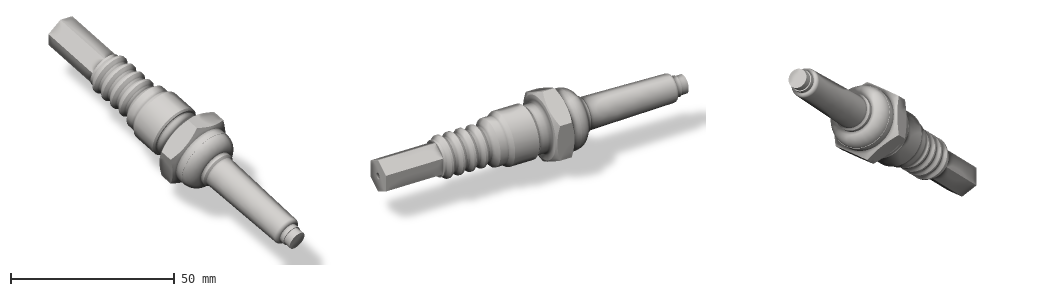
import cadquery as cq
import math

total_length = 107.0

tail_length = 20.0
tail_across_corners = 11.5
hole_radius = 1.1
hole_depth = 3.2
hole_tip_angle = 90.0

rib_count = 4
rib_pitch = 4.0
groove_radius = 6.0
rib_radius = 7.0
groove_width = 0.9
rib_top_width = 0.7
first_groove_end = tail_length + groove_width

shoulder_radius = 7.9
shoulder_start = 38.5
shoulder_end = 41.4
sleeve_radius = 9.0
sleeve_start = 43.0
sleeve_end = 52.0
sleeve_chamfer = 0.5
relief_radius = 7.8
relief_end = 52.5
neck_radius = 8.0
neck_fillet = 0.7

nut_start = 56.4
nut_end = 63.3
nut_across_corners = 25.4
nut_front_radius = 10.5
nut_chamfer_angle = 30.0

flange_radius = 10.1
flange_end = 65.8
dome_radius = 10.0
dome_rounding = 4.2
dome_end = flange_end + dome_rounding

collar_radius = 6.0
collar_end = 71.9
collar_chamfer = 0.6
probe_end_radius = 4.7
probe_end = 103.0
probe_rounding = 1.1
tip_radius = 3.4
tip_step = 104.6
pin_radius = 3.1


def hexagonal_bar(start, end, across_corners):
    """Hexagonal bar along X with two flats facing +Y and -Y."""
    return (
        cq.Workplane("YZ", origin=(start, 0, 0))
        .transformed(rotate=(0, 0, 90))
        .polygon(6, across_corners)
        .extrude(end - start)
    )


def revolve_about_x(profile):
    return profile.close().revolve(360, (0, 0, 0), (1, 0, 0))


def rib_points():
    """Corners of the ribs, from the end of the first groove to the end of the last one."""
    slope_length = (rib_pitch - groove_width - rib_top_width) / 2
    points = []
    for index in range(rib_count):
        rib_start = first_groove_end + index * rib_pitch
        top_start = rib_start + slope_length
        top_end = top_start + rib_top_width
        rib_end = top_end + slope_length
        points += [
            (rib_start, groove_radius),
            (top_start, rib_radius),
            (top_end, rib_radius),
            (rib_end, groove_radius),
        ]
    last_groove_end = first_groove_end + rib_count * rib_pitch
    return points + [(last_groove_end, groove_radius)]


def turned_body():
    """All round stretches, revolved from one half outline."""
    outline = cq.Workplane("XY").moveTo(tail_length, 0).lineTo(tail_length, groove_radius)
    for x, radius in rib_points():
        outline = outline.lineTo(x, radius)

    outline = (
        outline.lineTo(shoulder_start, shoulder_radius)
        .lineTo(shoulder_end, shoulder_radius)
        .lineTo(sleeve_start, sleeve_radius)
        .lineTo(sleeve_end - sleeve_chamfer, sleeve_radius)
        .lineTo(sleeve_end, sleeve_radius - sleeve_chamfer)
        .lineTo(sleeve_end, relief_radius)
        .lineTo(relief_end, relief_radius)
        .lineTo(relief_end, neck_radius)
        .lineTo(nut_start - neck_fillet, neck_radius)
        .tangentArcPoint((nut_start, neck_radius + neck_fillet), relative=False)
    )

    outline = (
        outline.lineTo(nut_start, flange_radius)
        .lineTo(flange_end, flange_radius)
        .lineTo(flange_end, dome_radius)
        .radiusArc((dome_end, dome_radius - dome_rounding), dome_rounding)
    )

    outline = (
        outline.lineTo(dome_end, collar_radius)
        .lineTo(collar_end - collar_chamfer, collar_radius)
        .lineTo(collar_end, collar_radius - collar_chamfer)
        .lineTo(probe_end - probe_rounding, probe_end_radius)
        .radiusArc((probe_end, probe_end_radius - probe_rounding), probe_rounding)
        .lineTo(probe_end, tip_radius)
        .lineTo(tip_step, tip_radius)
        .lineTo(tip_step, pin_radius)
        .lineTo(total_length, pin_radius)
        .lineTo(total_length, 0)
    )
    return revolve_about_x(outline)


def nut():
    """Hexagon trimmed by a cone at each face; the rear cone runs down to the flange."""
    corner_radius = nut_across_corners / 2
    chamfer_slope = math.tan(math.radians(nut_chamfer_angle))
    front_chamfer = (corner_radius - nut_front_radius) * chamfer_slope
    back_chamfer = (corner_radius - flange_radius) * chamfer_slope
    envelope = revolve_about_x(
        cq.Workplane("XY")
        .moveTo(nut_start, 0)
        .lineTo(nut_start, nut_front_radius)
        .lineTo(nut_start + front_chamfer, corner_radius)
        .lineTo(nut_end - back_chamfer, corner_radius)
        .lineTo(nut_end, flange_radius)
        .lineTo(nut_end, 0)
    )
    return hexagonal_bar(nut_start, nut_end, nut_across_corners).intersect(envelope)


def centre_hole():
    """Blind hole in the tail face, ending in a drill point."""
    tip_length = hole_radius / math.tan(math.radians(hole_tip_angle / 2))
    return revolve_about_x(
        cq.Workplane("XY")
        .lineTo(0, hole_radius)
        .lineTo(hole_depth, hole_radius)
        .lineTo(hole_depth + tip_length, 0)
    )


tail = hexagonal_bar(0, tail_length, tail_across_corners)
result = turned_body().union(tail).union(nut()).cut(centre_hole())